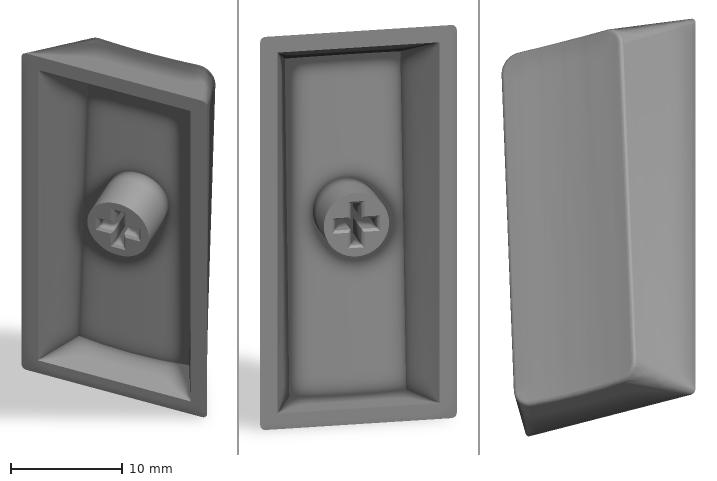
import cadquery as cq
import math

width = 18.1
length = 37.1
wall = 1.55
bottom_wall = 1.5
rim_corner_radius = 0.5

tilt = 4.1
crown_height = 7.68
crown_width = 12.6
crown_top_z = 15.05
crown_corner_radius = 1.85

dish_radius = 34.15
dish_height = 6.83
dish_edge_fillet = 0.35

opening_width = 14.9
opening_top_z = length / 2 - wall
cavity_bottom_z = -length / 2 + bottom_wall
floor_width = 10.4
floor_top_z = 14.02
floor_thickness = 1.4

stem_diameter = 6.0
stem_recess = 0.9
cross_span = 4.38
cross_arm = 1.45
cross_lead_in = 0.22
cross_depth = 3.7

slope = math.tan(math.radians(tilt))
dish_direction = cq.Vector(0, slope, 1)


def place_outline(sketch, plane):
    """Outer wire of a one-face sketch, moved onto the given plane."""
    return sketch.faces().val().outerWire().moved(cq.Location(plane))


def rectangle_wire(height, gradient, size_x, z_low, z_high, corner_radius):
    """Rectangle in the plane Y = height + gradient * Z, spanning z_low to z_high."""
    stretch = math.hypot(1, gradient)
    z_mid = (z_low + z_high) / 2
    plane = cq.Plane(
        origin=(0, height + gradient * z_mid, z_mid),
        xDir=(1, 0, 0),
        normal=(0, -1, gradient),
    )
    outline = cq.Sketch().rect(size_x, (z_high - z_low) * stretch)
    if corner_radius > 0:
        outline = outline.vertices().fillet(corner_radius).reset()
    return place_outline(outline, plane)


def ruled_loft(first_wire, second_wire):
    return cq.Workplane(obj=cq.Solid.makeLoft([first_wire, second_wire], True))


def dish_cylinder(valley_height):
    """Cylinder whose lowest line passes through Y = valley_height at Z = 0."""
    axis_length = 2 * length
    radius_in_y = dish_radius / math.cos(math.radians(tilt))
    start = cq.Vector(0, valley_height + radius_in_y, 0) - dish_direction * (axis_length / 2)
    return cq.Workplane(obj=cq.Solid.makeCylinder(dish_radius, axis_length, start, dish_direction))


def cross_wire(y, inset):
    span = cross_span - 2 * inset
    arm = cross_arm - 2 * inset
    outline = cq.Sketch().rect(span, arm).rect(arm, span).reset().clean()
    return place_outline(outline, cq.Plane.XZ(origin=(0, y, 0)))


def make_outer_body():
    rim = rectangle_wire(0, 0, width, -length / 2, length / 2, rim_corner_radius)
    crown = rectangle_wire(
        crown_height, slope, crown_width, -length / 2, crown_top_z, crown_corner_radius
    )
    dished = ruled_loft(rim, crown).cut(dish_cylinder(dish_height))
    return dished.faces("%CYLINDER").edges().fillet(dish_edge_fillet)


def make_cavity():
    opening = rectangle_wire(0, 0, opening_width, cavity_bottom_z, opening_top_z, 0)
    floor = rectangle_wire(
        crown_height - floor_thickness, slope, floor_width, cavity_bottom_z, floor_top_z, 0
    )
    return ruled_loft(opening, floor).cut(dish_cylinder(dish_height - floor_thickness))


def make_stem():
    stem_end = dish_height - floor_thickness / 2
    return (
        cq.Workplane("XZ", origin=(0, stem_recess, 0))
        .circle(stem_diameter / 2)
        .extrude(-(stem_end - stem_recess))
    )


def make_cross_socket():
    mouth = cross_wire(stem_recess, 0)
    throat = cross_wire(stem_recess + cross_lead_in, cross_lead_in)
    end = cross_wire(stem_recess + cross_depth, cross_lead_in)
    return ruled_loft(mouth, throat).union(ruled_loft(throat, end))


result = make_outer_body().cut(make_cavity()).union(make_stem()).cut(make_cross_socket())